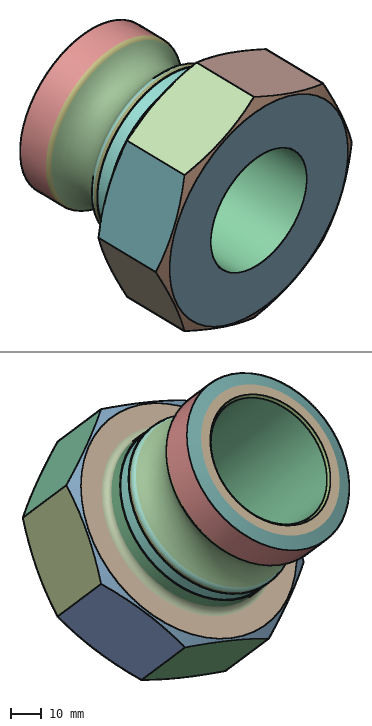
import cadquery as cq
import math

total_length = 78.0
nut_across_corners = 92.0
nut_sides = 8
nut_length = 30.1
nut_start = total_length - nut_length

nut_face_diameter = 83.6
nut_bevel_length = 2.2

neck_diameter = 63.0
neck_radius = neck_diameter / 2
bore_diameter = 45.0
bore_radius = bore_diameter / 2
bore_chamfer = 0.8
nose_face_diameter = 53.7
nose_bevel_length = 1.3
root_fillet = 2.3

groove_center = 23.55
groove_floor_diameter = 51.9
groove_arc_radius = 11.0
groove_rim_radius = 2.0

band_start = 35.7
band_width = 5.0
band_diameter = 62.5

ARC_MIDDLE = math.sqrt(0.5)


def make_neck():
    """Revolve the solid neck with its nose bevel, locking groove, band and root fillet."""
    arc_center_r = groove_floor_diameter / 2 + groove_arc_radius
    rim_center_r = neck_radius - groove_rim_radius
    center_distance = groove_arc_radius + groove_rim_radius
    rim_offset = math.sqrt(center_distance**2 - (arc_center_r - rim_center_r) ** 2)
    touch_offset = rim_offset * groove_arc_radius / center_distance
    touch_r = arc_center_r - (arc_center_r - rim_center_r) * groove_arc_radius / center_distance

    rim_half_angle = math.asin(rim_offset / center_distance) / 2
    rim_middle_offset = rim_offset - groove_rim_radius * math.sin(rim_half_angle)
    rim_middle_r = rim_center_r + groove_rim_radius * math.cos(rim_half_angle)

    band_end = band_start + band_width
    band_radius = band_diameter / 2
    fillet_start = nut_start - root_fillet
    fillet_middle = (
        fillet_start + root_fillet * ARC_MIDDLE,
        neck_radius + root_fillet * (1 - ARC_MIDDLE),
    )
    profile = (
        cq.Workplane("XY")
        .moveTo(0, 0)
        .lineTo(0, nose_face_diameter / 2)
        .lineTo(nose_bevel_length, neck_radius)
        .lineTo(groove_center - rim_offset, neck_radius)
        .threePointArc(
            (groove_center - rim_middle_offset, rim_middle_r),
            (groove_center - touch_offset, touch_r),
        )
        .threePointArc(
            (groove_center, groove_floor_diameter / 2),
            (groove_center + touch_offset, touch_r),
        )
        .threePointArc(
            (groove_center + rim_middle_offset, rim_middle_r),
            (groove_center + rim_offset, neck_radius),
        )
        .lineTo(band_start, neck_radius)
        .lineTo(band_start, band_radius)
        .lineTo(band_end, band_radius)
        .lineTo(band_end, neck_radius)
        .lineTo(fillet_start, neck_radius)
        .threePointArc(fillet_middle, (nut_start, neck_radius + root_fillet))
        .lineTo(total_length, neck_radius + root_fillet)
        .lineTo(total_length, 0)
        .close()
    )
    return profile.revolve(360, (0, 0, 0), (1, 0, 0))


def make_nut():
    """Octagonal prism whose corners are trimmed by a cone at both ends."""
    prism = (
        cq.Workplane("YZ", origin=(nut_start, 0, 0))
        .polygon(nut_sides, nut_across_corners)
        .extrude(nut_length)
    )
    beveled_disc = (
        cq.Workplane("XY")
        .polyline([
            (nut_start, 0),
            (nut_start, nut_face_diameter / 2),
            (nut_start + nut_bevel_length, nut_across_corners / 2),
            (total_length - nut_bevel_length, nut_across_corners / 2),
            (total_length, nut_face_diameter / 2),
            (total_length, 0),
        ])
        .close()
        .revolve(360, (0, 0, 0), (1, 0, 0))
    )
    return prism.intersect(beveled_disc)


def make_bore():
    """Through bore with a chamfered mouth at the nose."""
    return (
        cq.Workplane("XY")
        .polyline([
            (0, 0),
            (0, bore_radius + bore_chamfer),
            (bore_chamfer, bore_radius),
            (total_length, bore_radius),
            (total_length, 0),
        ])
        .close()
        .revolve(360, (0, 0, 0), (1, 0, 0))
    )


result = make_neck().union(make_nut()).cut(make_bore())